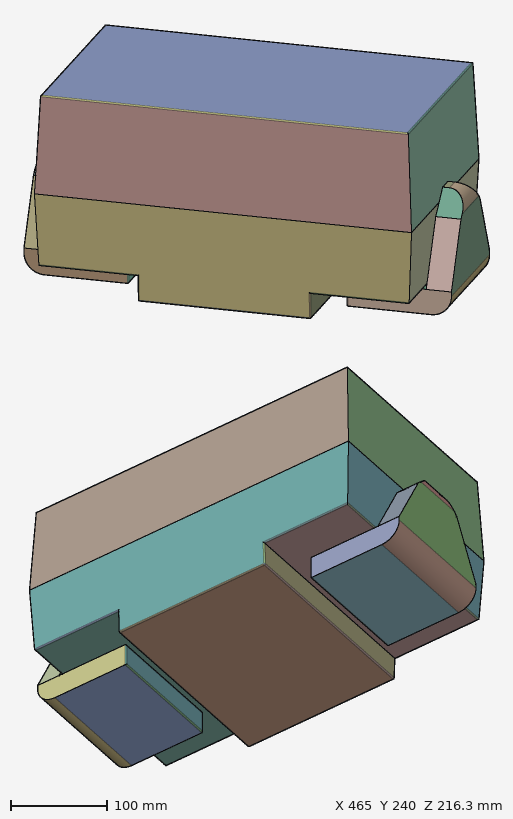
import cadquery as cq
import math

TOTAL_LENGTH = 465.0
BODY_WIDTH = 240.0
BODY_HEIGHT = 216.3
DRAFT_ANGLE = 2.7
EDGE_RADIUS = 1.5

LEAD_THICKNESS = 27.5
LEAD_BOTTOM_Z = 1.0
LEAD_TOP_Z = 121.5
LEAD_KNEE_Z = 97.0
LEAD_FOOT_LENGTH = 114.0
LEAD_FOOT_WIDTH = 136.0
LEAD_KNEE_WIDTH = 68.0
LEAD_TOP_WIDTH = 18.5
LEAD_TOP_RADIUS = 20.0
LEAD_BOTTOM_RADIUS = 22.5

HOUSING_LENGTH = TOTAL_LENGTH - 2 * LEAD_THICKNESS
PARTING_Z = 109.0
PEDESTAL_LENGTH = 188.0
FOOT_TOP_Z = LEAD_BOTTOM_Z + LEAD_THICKNESS
UNDERSIDE_Z = FOOT_TOP_Z


def tapered_half(height):
    """Drafted block that narrows from the parting plane; a negative height points down."""
    inset = abs(height) * math.tan(math.radians(DRAFT_ANGLE))
    return (
        cq.Workplane("XY", origin=(0, 0, PARTING_Z))
        .rect(HOUSING_LENGTH, BODY_WIDTH)
        .workplane(offset=height)
        .rect(HOUSING_LENGTH - 2 * inset, BODY_WIDTH - 2 * inset)
        .loft(ruled=True)
    )


def make_upper_housing():
    """Drafted block with softened edges around its top face."""
    return tapered_half(BODY_HEIGHT - PARTING_Z).faces(">Z").edges().fillet(EDGE_RADIUS)


def make_lower_housing():
    """Drafted block with both ends cut away underneath, leaving a central pedestal."""
    housing = tapered_half(-PARTING_Z)
    notch_length = (HOUSING_LENGTH - PEDESTAL_LENGTH) / 2
    notch_center = (HOUSING_LENGTH + PEDESTAL_LENGTH) / 4
    notches = (
        cq.Workplane("XY")
        .pushPoints([(-notch_center, 0), (notch_center, 0)])
        .rect(notch_length, BODY_WIDTH)
        .extrude(UNDERSIDE_Z)
    )
    housing = housing.cut(notches)

    low_edges = cq.selectors.BoxSelector(
        (-HOUSING_LENGTH, -BODY_WIDTH, -EDGE_RADIUS),
        (HOUSING_LENGTH, BODY_WIDTH, UNDERSIDE_Z + EDGE_RADIUS),
    )
    inner_corners = cq.selectors.BoxSelector(
        (-PEDESTAL_LENGTH / 2 - EDGE_RADIUS, -EDGE_RADIUS, UNDERSIDE_Z - EDGE_RADIUS),
        (PEDESTAL_LENGTH / 2 + EDGE_RADIUS, EDGE_RADIUS, UNDERSIDE_Z + EDGE_RADIUS),
    )
    return housing.edges(low_edges - inner_corners).fillet(EDGE_RADIUS)


def make_lead(rotation):
    """L-shaped lead at the -X end, turned about Z by the given angle in degrees."""
    outer_x = -TOTAL_LENGTH / 2
    inner_x = outer_x + LEAD_THICKNESS
    foot_end_x = outer_x + LEAD_FOOT_LENGTH
    side_profile = (
        cq.Workplane("XZ")
        .moveTo(inner_x, LEAD_TOP_Z)
        .lineTo(outer_x + LEAD_TOP_RADIUS, LEAD_TOP_Z)
        .radiusArc((outer_x, LEAD_TOP_Z - LEAD_TOP_RADIUS), -LEAD_TOP_RADIUS)
        .lineTo(outer_x, LEAD_BOTTOM_Z + LEAD_BOTTOM_RADIUS)
        .radiusArc((outer_x + LEAD_BOTTOM_RADIUS, LEAD_BOTTOM_Z), -LEAD_BOTTOM_RADIUS)
        .lineTo(foot_end_x, LEAD_BOTTOM_Z)
        .lineTo(foot_end_x, FOOT_TOP_Z)
        .lineTo(inner_x, FOOT_TOP_Z)
        .close()
        .extrude(LEAD_FOOT_WIDTH / 2, both=True)
    )
    end_outline = (
        cq.Workplane("YZ", origin=(outer_x, 0, 0))
        .polyline([
            (-LEAD_FOOT_WIDTH / 2, LEAD_BOTTOM_Z),
            (LEAD_FOOT_WIDTH / 2, LEAD_BOTTOM_Z),
            (LEAD_FOOT_WIDTH / 2, FOOT_TOP_Z),
            (LEAD_KNEE_WIDTH / 2, LEAD_KNEE_Z),
            (LEAD_TOP_WIDTH / 2, LEAD_TOP_Z),
            (-LEAD_TOP_WIDTH / 2, LEAD_TOP_Z),
            (-LEAD_KNEE_WIDTH / 2, LEAD_KNEE_Z),
            (-LEAD_FOOT_WIDTH / 2, FOOT_TOP_Z),
        ])
        .close()
        .extrude(LEAD_FOOT_LENGTH)
    )
    lead = side_profile.intersect(end_outline)
    lead = lead.faces(">X").edges().fillet(EDGE_RADIUS)
    return lead.rotate((0, 0, 0), (0, 0, 1), rotation)


upper_housing = make_upper_housing()
lower_housing = make_lower_housing()
leads = [make_lead(rotation) for rotation in (0, 180)]

result = cq.Compound.makeCompound([
    upper_housing.val(),
    lower_housing.val(),
    *[lead.val() for lead in leads],
])